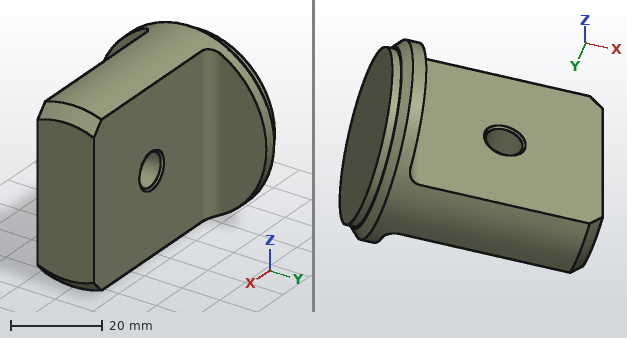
import cadquery as cq

length = 52.0
outer_radius = 22.5
end_chamfer = 3.0

face_radius = 20.0
face_depth = 2.0
bevel_size = 2.0
head_depth = 7.0

tongue_thickness = 15.0
root_fillet = 3.0

hole_x = 29.55
hole_diameter = 8.5
countersink = 0.5


def turned_body():
    """Full round blank with a stepped, bevelled front and a chamfered rear."""
    profile = (
        cq.Workplane("XY")
        .lineTo(0, face_radius)
        .lineTo(face_depth, face_radius)
        .lineTo(face_depth, outer_radius - bevel_size)
        .lineTo(face_depth + bevel_size, outer_radius)
        .lineTo(length - end_chamfer, outer_radius)
        .lineTo(length, outer_radius - end_chamfer)
        .lineTo(length, 0)
        .close()
    )
    return profile.revolve(360, (0, 0, 0), (1, 0, 0))


def flat_relief(side):
    """Material removed beside the tongue; side is +1 or -1 along Y."""
    flat_y = side * tongue_thickness / 2
    clear_y = side * 2 * outer_radius
    clear_x = 2 * length
    outline = (
        cq.Workplane("XY")
        .moveTo(clear_x, flat_y)
        .lineTo(head_depth + root_fillet, flat_y)
        .tangentArcPoint((head_depth, flat_y + side * root_fillet), relative=False)
        .lineTo(head_depth, clear_y)
        .lineTo(clear_x, clear_y)
        .close()
    )
    return outline.extrude(2 * outer_radius, both=True)


def cross_hole():
    """Hole along Y with a small 45 degree countersink at both mouths."""
    radius = hole_diameter / 2
    half = tongue_thickness / 2
    profile = (
        cq.Workplane("XY")
        .moveTo(hole_x, -half)
        .lineTo(hole_x + radius + countersink, -half)
        .lineTo(hole_x + radius, countersink - half)
        .lineTo(hole_x + radius, half - countersink)
        .lineTo(hole_x + radius + countersink, half)
        .lineTo(hole_x, half)
        .close()
    )
    return profile.revolve(360, (hole_x, 0, 0), (hole_x, 1, 0))


result = turned_body()
for side in (1, -1):
    result = result.cut(flat_relief(side))
result = result.cut(cross_hole())